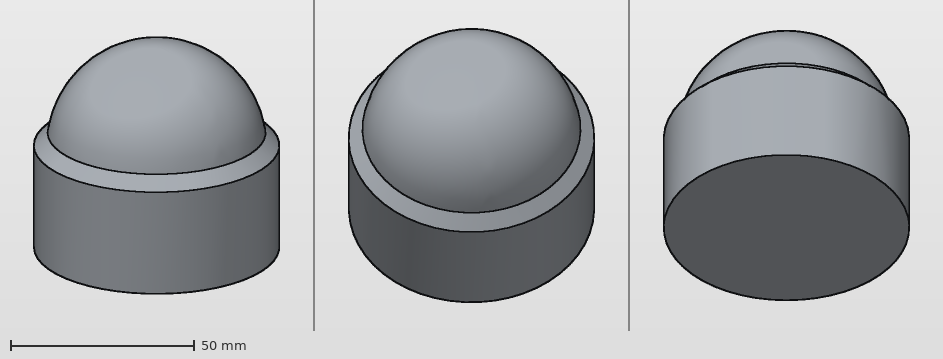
import cadquery as cq
import math

body_diameter = 67.0
body_height = 30.0
shoulder_size = 3.75
total_height = 59.5

body_radius = body_diameter / 2
dome_base_radius = body_radius - shoulder_size
dome_base_height = body_height + shoulder_size
dome_rise = total_height - dome_base_height

sphere_radius = (dome_base_radius**2 + dome_rise**2) / (2 * dome_rise)
sphere_center_height = total_height - sphere_radius
diagonal = sphere_radius * math.sqrt(0.5)
arc_middle = (diagonal, sphere_center_height + diagonal)

half_section = (
    cq.Workplane("XZ")
    .lineTo(body_radius, 0)
    .lineTo(body_radius, body_height)
    .lineTo(dome_base_radius, dome_base_height)
    .threePointArc(arc_middle, (0, total_height))
    .close()
)

result = half_section.revolve(360, (0, 0, 0), (0, 1, 0))